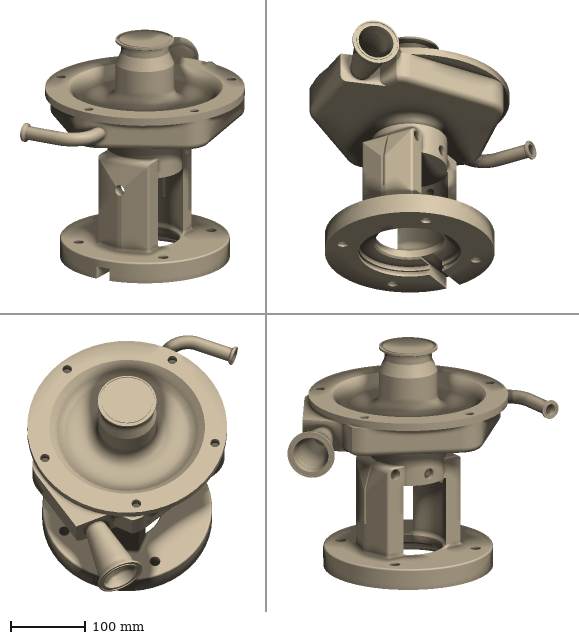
import cadquery as cq
import math

overall_length = 413.0

base_height = 29.0
leg_top = 155.7
hub_bottom = 127.2
hub_top = 170.0
casing_bottom = 189.5
flange_bottom = 231.5
flange_top = 241.5
inlet_top = 310.0

base_radius = 115.0
base_bore_radius = 46.5
bore_top_chamfer = 1.5
bore_bottom_chamfer = 2.5
base_edge_round = 2.5
base_hole_radius = 7.23
base_hole_circle = 93.0
base_hole_count = 4
socket_radius = 69.5
socket_depth = 15.0
ring_groove_radius = 72.5
ring_groove_bottom = 3.5
ring_groove_top = 8.5
key_slot_width = 20.2
key_slot_height = 17.5

leg_half_width = 39.5
leg_inner_radius = 52.65
leg_shoulder_y = 59.5
leg_nose_y = 70.0
leg_nose_half_width = 3.5
leg_corner_round = 4.0
leg_foot_round = 4.0
bevel_top_y = 60.7
bevel_top_z = 148.3
bevel_bottom_z = 116.0
leg_crown_round = 10.5
leg_side_round = 2.5
front_hole_radius = 7.23
front_hole_z = 114.0
clamp_hole_radius = 7.65
clamp_hole_y = 47.5
clamp_hole_z = 146.0
slit_width = 4.5
slit_bottom = 70.2

hub_radius = 51.0
hub_hole_radius = 7.65
hub_hole_z = 141.5
hub_hole_depth = 9.0
neck_radius = 41.7
neck_flare = 10.0
neck_overlap = 0.5

pentagon_turn = 9
side_count = 5
side_angle = 360 / side_count
pentagon_inradius = 115.0
pentagon_corner_round = 34.0
casing_edge_round = 8.5
block_face_along = 110.0
block_outer_across = 124.0
block_inner_across = 69.0
block_heel = (142.5, 0.5)
shoulder_along = 131.5
shoulder_inner_across = 32.5
shoulder_outer_across = 51.2

flange_radius = 135.0
flange_hole_radius = 6.4
flange_hole_circle = 121.5
recess_top_radius = 105.12
recess_cone_radius = 93.5
recess_floor_radius = 83.0
recess_depth = 15.0
recess_floor_thickness = 4.0
recess_cone_depth = 10.7

inlet_radius = 39.5
inlet_throat_radius = 32.2
inlet_cone_bottom = 276.0
inlet_cone_top = 293.0

discharge_angle = 135
outlet_across = 96.0
outlet_z = 209.0
outlet_root_radius = 14.5
outlet_root_overlap = 12.5
outlet_root_chamfer = 2.5
outlet_cone_start_radius = 15.3
outlet_cone_start_along = 113.5
outlet_cone_end_along = 176.5
outlet_radius = 25.5
outlet_ferrule_radius = 32.2
outlet_bore_radius = 24.15
outlet_bore_straight = 13.2
outlet_bore_taper_radius = 22.7
outlet_bore_taper_depth = 25.5
outlet_bore_end_radius = 12.5

drain_radius = 9.3
drain_bore_radius = 8.0
drain_z = 212.5
drain_y = -172.2
drain_end_x = -89.0
drain_bend_radius = 35.0
drain_root_y = -107.5
drain_bore_root_y = -119.8
drain_ferrule_radius = 13.0
drain_groove_width = 1.5

outlet_lip_y = overall_length + drain_y - drain_ferrule_radius
outlet_face_along = outlet_lip_y * math.sqrt(2) - outlet_across - outlet_ferrule_radius

lip_thickness = 3.0
ferrule_length = 5.8
seal_groove_width = 3.5
seal_groove_depth = 1.2
seal_groove_margin = 2.0

match_tolerance = 0.05


def polar(radius, angle):
    a = math.radians(angle)
    return (radius * math.cos(a), radius * math.sin(a))


def discharge_point(across, along):
    """Plan point at a distance along the discharge direction and across it."""
    ax, ay = polar(across, discharge_angle - 90)
    bx, by = polar(along, discharge_angle)
    return (ax + bx, ay + by)


def cylinder(radius, bottom, top):
    return cq.Workplane("XY", origin=(0, 0, bottom)).circle(radius).extrude(top - bottom)


def turned(plane, points):
    """Solid of revolution about the plane's local Y axis, from (radius, height) points."""
    return cq.Workplane(plane).polyline(points).close().revolve(360, (0, 0, 0), (0, 1, 0))


def ferrule_points(lip_radius, pipe_radius, face):
    """Outer outline of a clamp ferrule, from the pipe up to its face."""
    return [
        (pipe_radius, face - ferrule_length),
        (lip_radius, face - lip_thickness),
        (lip_radius, face),
    ]


def seal_groove(plane, lip_radius, face, width=seal_groove_width):
    outer = lip_radius - seal_groove_margin
    inner = outer - width
    floor = face - seal_groove_depth
    return turned(plane, [(inner, floor), (outer, floor), (outer, face), (inner, face)])


def make_base():
    base = cylinder(base_radius, 0, base_height).faces(">Z").edges().fillet(base_edge_round)
    base = base.cut(cylinder(base_bore_radius, 0, base_height))
    holes = (
        cq.Workplane("XY")
        .polarArray(base_hole_circle, 45, 360, base_hole_count)
        .circle(base_hole_radius)
        .extrude(base_height)
    )
    return base.cut(holes)


def cut_base_opening(body):
    bore_flare = turned("XZ", [
        (0, socket_depth),
        (base_bore_radius + bore_bottom_chamfer, socket_depth),
        (base_bore_radius, socket_depth + bore_bottom_chamfer),
        (base_bore_radius, base_height - bore_top_chamfer),
        (base_bore_radius + bore_top_chamfer, base_height),
        (0, base_height),
    ])
    body = body.cut(bore_flare)
    body = body.cut(cylinder(socket_radius, 0, socket_depth))
    body = body.cut(cylinder(ring_groove_radius, ring_groove_bottom, ring_groove_top))
    key_slot = cq.Workplane("XY").box(
        key_slot_width, base_radius, key_slot_height, centered=(True, False, False)
    )
    return body.cut(key_slot.translate((0, -base_radius, 0)))


def make_leg():
    """Leg on the -Y side, with a blunt V nose and a bevelled top."""
    outline = [
        (-leg_half_width, 0),
        (-leg_half_width, -leg_shoulder_y),
        (-leg_nose_half_width, -leg_nose_y),
        (leg_nose_half_width, -leg_nose_y),
        (leg_half_width, -leg_shoulder_y),
        (leg_half_width, 0),
    ]
    leg = cq.Workplane("XY", origin=(0, 0, base_height)).polyline(outline).close()
    leg = leg.extrude(leg_top - base_height)
    for x in (-leg_half_width, leg_half_width):
        shoulder = cq.selectors.NearestToPointSelector((x, -leg_shoulder_y, (base_height + leg_top) / 2))
        leg = leg.edges("|Z").edges(shoulder).fillet(leg_corner_round)
    round_topped = (
        cq.Workplane("XY", origin=(0, -leg_nose_y, base_height))
        .box(2 * leg_half_width, leg_nose_y, leg_top - base_height, centered=(True, False, False))
        .edges("|Y and >Z")
        .fillet(leg_side_round)
    )
    leg = leg.intersect(round_topped)

    slope = (leg_nose_y - bevel_top_y) / (bevel_top_z - bevel_bottom_z)
    bevel_end_y = bevel_top_y - slope * (leg_top - bevel_top_z)
    bevelled = (
        cq.Workplane("YZ", origin=(-leg_half_width, 0, 0))
        .polyline([
            (0, base_height),
            (-leg_nose_y, base_height),
            (-leg_nose_y, bevel_bottom_z),
            (-bevel_end_y, leg_top),
            (0, leg_top),
        ])
        .close()
        .extrude(2 * leg_half_width)
        .faces(">Z")
        .edges("<Y")
        .fillet(leg_crown_round)
    )
    leg = leg.intersect(bevelled)
    return leg.cut(cylinder(leg_inner_radius, base_height, hub_bottom))


def is_foot_edge(edge):
    middle = edge.Center()
    on_top = abs(middle.z - base_height) < match_tolerance
    beside_leg = abs(middle.x) < leg_half_width + match_tolerance
    off_center = abs(middle.y) > match_tolerance
    return on_top and beside_leg and off_center


def make_frame():
    leg = make_leg()
    frame = make_base().union(leg).union(leg.mirror("XZ"))
    foot_edges = [e for e in frame.edges().vals() if is_foot_edge(e)]
    frame = frame.newObject(foot_edges).fillet(leg_foot_round)
    frame = cut_base_opening(frame)

    front_hole = (
        cq.Workplane("XZ", origin=(0, 0, front_hole_z)).circle(front_hole_radius).extrude(base_radius)
    )
    clamp_hole = (
        cq.Workplane("YZ", origin=(-leg_half_width, clamp_hole_y, clamp_hole_z))
        .circle(clamp_hole_radius)
        .extrude(2 * leg_half_width)
    )
    slit = cq.Workplane("XY", origin=(0, hub_radius, slit_bottom)).box(
        slit_width, base_radius, leg_top - slit_bottom, centered=(True, False, False)
    )
    hub = cylinder(hub_radius, hub_bottom, hub_top)
    hub_hole = (
        cq.Workplane("YZ", origin=(-hub_radius, 0, hub_hole_z))
        .circle(hub_hole_radius)
        .extrude(hub_hole_depth)
    )
    return frame.cut(front_hole).cut(slit).union(hub).cut(clamp_hole).cut(hub_hole)


def is_discharge_edge(edge):
    middle = edge.Center()
    axis_x, axis_y = polar(1, discharge_angle)
    along = middle.x * axis_x + middle.y * axis_y
    return abs(along - block_face_along) < match_tolerance


def make_casing():
    vertex_radius = pentagon_inradius / math.cos(math.pi / side_count)
    corners = [polar(vertex_radius, pentagon_turn + (k + 2.5) * side_angle) for k in range(3)]
    heel = discharge_point(*block_heel)
    outline = corners + [
        heel,
        discharge_point(block_outer_across, block_face_along),
        discharge_point(block_inner_across, block_face_along),
        discharge_point(shoulder_outer_across, shoulder_along),
    ]
    shoulder_end = discharge_point(shoulder_inner_across, shoulder_along)
    casing = (
        cq.Workplane("XY", origin=(0, 0, casing_bottom))
        .polyline(outline)
        .radiusArc(shoulder_end, -pentagon_corner_round)
        .close()
        .extrude(flange_bottom - casing_bottom)
    )
    for x, y in corners + [heel]:
        nearest = cq.selectors.NearestToPointSelector((x, y, (casing_bottom + flange_bottom) / 2))
        casing = casing.edges("|Z").edges(nearest).fillet(pentagon_corner_round)
    rounded_edges = [e for e in casing.faces("<Z").edges().vals() if not is_discharge_edge(e)]
    casing = casing.newObject(rounded_edges).fillet(casing_edge_round)

    neck_top = casing_bottom + neck_overlap
    neck = (
        cq.Workplane("XZ")
        .moveTo(0, hub_top)
        .lineTo(neck_radius, hub_top)
        .lineTo(neck_radius, casing_bottom - neck_flare)
        .radiusArc((neck_radius + neck_flare, casing_bottom), neck_flare)
        .lineTo(neck_radius + neck_flare, neck_top)
        .lineTo(0, neck_top)
        .close()
        .revolve(360, (0, 0, 0), (0, 1, 0))
    )
    return casing.union(neck)


def make_cover():
    """Flange with a dished recess, and the inlet nozzle rising from its floor."""
    floor = flange_top - recess_depth
    underside = floor - recess_floor_thickness
    floor_round = recess_depth
    cone_end = flange_top - recess_cone_depth
    cover = (
        cq.Workplane("XZ")
        .moveTo(0, underside)
        .lineTo(recess_top_radius, underside)
        .lineTo(recess_top_radius, flange_bottom)
        .lineTo(flange_radius, flange_bottom)
        .lineTo(flange_radius, flange_top)
        .lineTo(recess_top_radius, flange_top)
        .lineTo(recess_cone_radius, cone_end)
        .tangentArcPoint((recess_floor_radius, floor), relative=False)
        .lineTo(inlet_radius + floor_round, floor)
        .radiusArc((inlet_radius, flange_top), floor_round)
        .lineTo(inlet_radius, inlet_cone_bottom)
        .lineTo(inlet_throat_radius, inlet_cone_top)
    )
    for point in ferrule_points(inlet_radius, inlet_throat_radius, inlet_top):
        cover = cover.lineTo(*point)
    cover = cover.lineTo(0, inlet_top).close().revolve(360, (0, 0, 0), (0, 1, 0))
    return cover.cut(seal_groove("XZ", inlet_radius, inlet_top))


def dish_seat():
    """Seat in the top of the casing for the cover dish."""
    return cylinder(recess_top_radius, flange_top - recess_depth - recess_floor_thickness, flange_top)


def flange_holes():
    return (
        cq.Workplane("XY", origin=(0, 0, flange_bottom))
        .polarArray(flange_hole_circle, pentagon_turn + side_angle / 2, 360, side_count)
        .circle(flange_hole_radius)
        .extrude(flange_top - flange_bottom)
    )


def outlet_plane():
    """Horizontal plane whose local Y axis is the outlet axis."""
    x, y = discharge_point(outlet_across, 0)
    across_x, across_y = polar(1, discharge_angle - 90)
    return cq.Plane(origin=(x, y, outlet_z), xDir=(across_x, across_y, 0), normal=(0, 0, 1))


def make_outlet():
    plane = outlet_plane()
    root = block_face_along - outlet_root_overlap
    points = [
        (0, root),
        (outlet_root_radius, root),
        (outlet_root_radius, outlet_cone_start_along - outlet_root_chamfer),
        (outlet_cone_start_radius, outlet_cone_start_along),
        (outlet_radius, outlet_cone_end_along),
    ]
    points += ferrule_points(outlet_ferrule_radius, outlet_radius, outlet_face_along)
    points.append((0, outlet_face_along))
    return turned(plane, points).cut(seal_groove(plane, outlet_ferrule_radius, outlet_face_along))


def outlet_bore():
    return turned(outlet_plane(), [
        (0, block_face_along),
        (outlet_bore_end_radius, block_face_along),
        (outlet_bore_end_radius, outlet_cone_start_along),
        (outlet_bore_taper_radius, outlet_face_along - outlet_bore_taper_depth),
        (outlet_bore_radius, outlet_face_along - outlet_bore_straight),
        (outlet_bore_radius, outlet_face_along),
        (0, outlet_face_along),
    ])


def drain_pipe(radius, root_y):
    path = (
        cq.Workplane("XY", origin=(0, 0, drain_z))
        .moveTo(drain_end_x, drain_y)
        .lineTo(-drain_bend_radius, drain_y)
        .radiusArc((0, drain_y + drain_bend_radius), -drain_bend_radius)
        .lineTo(0, root_y)
    )
    section = cq.Workplane("YZ", origin=(drain_end_x, drain_y, drain_z)).circle(radius)
    return section.sweep(path)


def make_drain():
    end = cq.Plane(origin=(drain_end_x, drain_y, drain_z), xDir=(0, 1, 0), normal=(0, 0, 1))
    points = [(0, -ferrule_length)] + ferrule_points(drain_ferrule_radius, drain_radius, 0) + [(0, 0)]
    ferrule = turned(end, points)
    groove = seal_groove(end, drain_ferrule_radius, 0, drain_groove_width)
    return drain_pipe(drain_radius, drain_root_y).union(ferrule).cut(groove)


casing = make_casing().cut(dish_seat())
result = (
    make_frame()
    .union(casing)
    .union(make_cover())
    .union(make_outlet())
    .union(make_drain())
    .cut(flange_holes())
    .cut(outlet_bore())
    .cut(drain_pipe(drain_bore_radius, drain_bore_root_y))
)